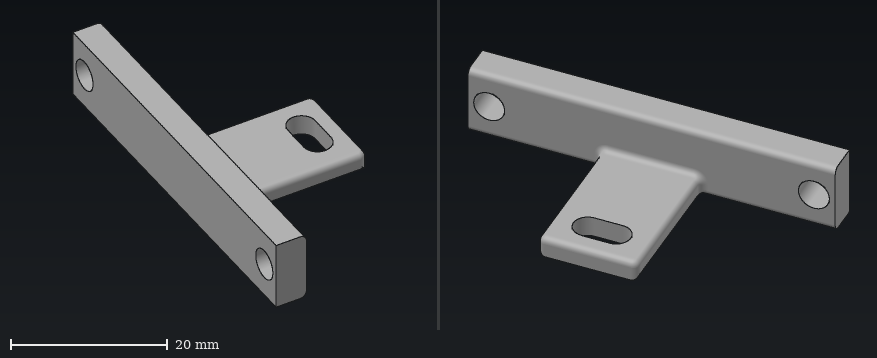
import cadquery as cq

bar_length = 51.4
bar_depth = 4.5
bar_height = 10.0
hole_diameter = 4.3
hole_end_distance = 3.0

overall_depth = 24.5
tongue_width = 14.0
tongue_thickness = 3.0
slot_length = 8.0
slot_width = 4.0
slot_end_distance = 4.5

edge_radius = 1.0


def make_bar():
    """Bar with rounded long back edges and a through hole near each end."""
    bar = cq.Workplane("XY").box(bar_length, bar_depth, bar_height, centered=(True, False, False))
    bar = bar.faces(">Y").edges("|X").fillet(edge_radius)
    hole_x = bar_length / 2 - hole_end_distance
    holes = (
        cq.Workplane("XZ")
        .pushPoints([(-hole_x, bar_height / 2), (hole_x, bar_height / 2)])
        .circle(hole_diameter / 2)
        .extrude(-bar_depth)
    )
    return bar.cut(holes)


def make_tongue():
    """Tongue rounded on all but its lower end edge, overlapping the rounded bar edge."""
    start_y = bar_depth - edge_radius
    tongue = (
        cq.Workplane("XY", origin=(0, start_y, 0))
        .box(tongue_width, overall_depth - start_y, tongue_thickness, centered=(True, False, False))
    )
    return tongue.edges("|Y or (>Y and |Z) or (>Y and >Z)").fillet(edge_radius)


def root_edges(body):
    """Edges where the tongue's top and sides meet the flat back of the bar."""
    margin = 0.05
    reach = tongue_width / 2 + margin
    root_box = cq.selectors.BoxSelector(
        (-reach, bar_depth - margin, edge_radius - margin),
        (reach, bar_depth + margin, tongue_thickness + margin),
    )
    return body.edges(root_box)


def cut_slot(body):
    """Slot through the tongue, running along X."""
    slot = (
        cq.Workplane("XY")
        .center(0, overall_depth - slot_end_distance)
        .slot2D(slot_length, slot_width)
        .extrude(tongue_thickness)
    )
    return body.cut(slot)


body = make_bar().union(make_tongue())
body = root_edges(body).fillet(edge_radius)
result = cut_slot(body)